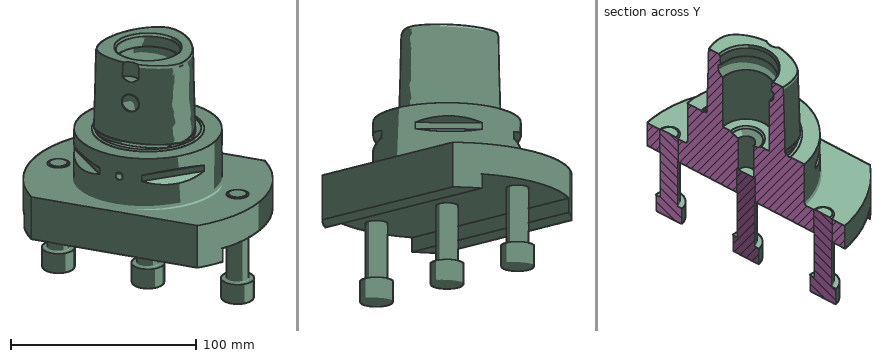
import cadquery as cq
import math


BOLT_DIAMETER = 12.0
BOLT_LENGTH = 50.0
BOLT_TIP_DIAMETER = 10.0
BOLT_TIP_BEVEL_HEIGHT = 0.5
BOLT_NECK_FILLET = 0.6
HEAD_DIAMETER = 18.0
HEAD_HEIGHT = BOLT_DIAMETER
HEAD_EDGE_FILLET = 1.2
BOLT_SPACING = 52.5
BOLT_X_POSITIONS = (-BOLT_SPACING, 0.0, BOLT_SPACING)
BOLT_TIP_Z = HEAD_HEIGHT + BOLT_LENGTH

PLATE_DIAMETER = 135.0
PLATE_WIDTH = 93.5
PLATE_THICKNESS = 25.0
PLATE_TOP_Z = BOLT_TIP_Z - BOLT_TIP_BEVEL_HEIGHT
PLATE_BOTTOM_Z = PLATE_TOP_Z - PLATE_THICKNESS
CHANNEL_WIDTH = 68.0
CHANNEL_DEPTH = 8.0

FLANGE_DIAMETER = 80.0
FLANGE_RADIUS = FLANGE_DIAMETER / 2
FLANGE_FOOT_FILLET = 2.0
FLANGE_HEIGHT = 29.7
FLANGE_TOP_Z = PLATE_TOP_Z + FLANGE_HEIGHT
SEAT_HEIGHT = 0.5
SEAT_DIAMETER = 57.5
SEAT_GROOVE_DIAMETER = 60.8
SEAT_GROOVE_DEPTH = 0.5
SEAT_Z = FLANGE_TOP_Z + SEAT_HEIGHT

GROOVE_HEIGHT_ABOVE_PLATE = 18.0
GROOVE_Z = PLATE_TOP_Z + GROOVE_HEIGHT_ABOVE_PLATE
GROOVE_COUNT = 4
GROOVE_LENGTH = 36.4
GROOVE_FLOOR_HEIGHT = 3.5
GROOVE_FLANK_ANGLE = 31.0
GROOVE_FLOOR_DISTANCE = math.sqrt(FLANGE_RADIUS**2 - (GROOVE_LENGTH / 2) ** 2)
INDEX_DIMPLE_DIAMETER = 4.4

OVERALL_HEIGHT = 139.5
LOBE_WIDTH = 55.0
LOBE_ECCENTRICITY = 2.0
LOBE_POINT_COUNT = 36
TAPER_RATIO = 1 / 20
LAND_START_Z = 93.4
LAND_HEIGHT = 1.0
TAPER_START_Z = LAND_START_Z + LAND_HEIGHT
TAPER_EDGE_HEIGHT = 1.5
TAPER_EDGE_INSET = 0.45
NECK_INSET = 0.4
NECK_FOOT_FLARE = 0.2
NECK_RADIUS = 28.5

MOUTH_DIAMETER = 36.6
MOUTH_DEPTH = 1.6
ENTRY_DIAMETER = 35.0
LIP_DIAMETER = 34.2
LIP_DEPTH = 7.3
RECESS_DIAMETER = 37.4
RECESS_START_DEPTH = 8.3
RECESS_END_DEPTH = 11.3
RECESS_ROUND_RADIUS = 4.0
RECESS_SLOPE_ANGLE = 45.0
BORE_DIAMETER = 31.5
BORE_FLOOR_DEPTH = 52.0
CONE_RIM_DIAMETER = 20.6
CONE_RIM_CHAMFER = 1.1
CONE_TOP_DIAMETER = CONE_RIM_DIAMETER - 2 * CONE_RIM_CHAMFER
CONE_SLOPE_ANGLE = 20.0
PASSAGE_DIAMETER = BOLT_TIP_DIAMETER

KEYWAY_RADIUS = 6.6
KEYWAY_BACK_Y = -22.2
KEYWAY_DEPTH = 8.4
TAPER_DIMPLE_DIAMETER = 10.0
TAPER_DIMPLE_Z = 116.4
TAPER_DIMPLE_WALL = 0.8
TAPER_DIMPLE_POINT_DEPTH = 2.9


def lobe_width_at(z):
    """Width across the three-lobed section at height z."""
    return LOBE_WIDTH - TAPER_RATIO * (z - SEAT_Z)


def lobe_wire(width, z):
    """Constant-width three-lobed outline with one lobe pointing to +Y."""

    def point(index):
        angle = 2 * math.pi * index / LOBE_POINT_COUNT
        x = width / 2 * math.cos(angle) - 2 * LOBE_ECCENTRICITY * math.cos(2 * angle)
        y = width / 2 * math.sin(angle) + 2 * LOBE_ECCENTRICITY * math.sin(2 * angle)
        x += LOBE_ECCENTRICITY * math.cos(4 * angle)
        y += LOBE_ECCENTRICITY * math.sin(4 * angle)
        return cq.Vector(y, -x, z)

    points = [point(index) for index in range(LOBE_POINT_COUNT)]
    return cq.Wire.assembleEdges([cq.Edge.makeSpline(points, periodic=True)])


def lobe_loft(lower_width, lower_z, upper_width, upper_z):
    """Straight-sided solid between two three-lobed outlines."""
    wires = [lobe_wire(lower_width, lower_z), lobe_wire(upper_width, upper_z)]
    return cq.Workplane(cq.Solid.makeLoft(wires, True))


def revolve_profile(points):
    """Solid of revolution about Z from (radius, height) points."""
    return cq.Workplane("XZ").polyline(points).close().revolve(360, (0, 0, 0), (0, 1, 0))


def front_cone(diameter, point_depth, y, z):
    """Cone with its rim at y and its point toward +Y."""
    cone = cq.Solid.makeCone(diameter / 2, 0, point_depth, cq.Vector(0, y, z), cq.Vector(0, 1, 0))
    return cq.Workplane(cone)


def make_bolt():
    """Cap-head bolt standing on its head, with a chamfered tip."""
    head = cq.Workplane("XY").circle(HEAD_DIAMETER / 2).extrude(HEAD_HEIGHT)
    head = head.faces("<Z").edges().fillet(HEAD_EDGE_FILLET)
    bevel_width = (BOLT_DIAMETER - BOLT_TIP_DIAMETER) / 2
    shank = cq.Workplane("XY").workplane(offset=HEAD_HEIGHT).circle(BOLT_DIAMETER / 2).extrude(BOLT_LENGTH)
    shank = shank.faces(">Z").chamfer(BOLT_TIP_BEVEL_HEIGHT, bevel_width)
    bolt = head.union(shank)
    neck_reach = BOLT_DIAMETER / 2 + BOLT_NECK_FILLET
    around_neck = cq.selectors.BoxSelector(
        (-neck_reach, -neck_reach, HEAD_HEIGHT - BOLT_NECK_FILLET),
        (neck_reach, neck_reach, HEAD_HEIGHT + BOLT_NECK_FILLET),
        boundingbox=True,
    )
    return bolt.edges(around_neck).fillet(BOLT_NECK_FILLET)


def make_plate():
    """Round plate with two flats and a wide channel along X in its underside."""
    bottom = cq.Workplane("XY").workplane(offset=PLATE_BOTTOM_Z)
    disc = bottom.circle(PLATE_DIAMETER / 2).extrude(PLATE_THICKNESS)
    flat_sided_block = bottom.rect(PLATE_DIAMETER, PLATE_WIDTH).extrude(PLATE_THICKNESS)
    channel = bottom.rect(PLATE_DIAMETER, CHANNEL_WIDTH).extrude(CHANNEL_DEPTH)
    return disc.intersect(flat_sided_block).cut(channel)


def make_flange():
    """Flange with a filleted foot and, on top, a low round seat ringed by a shallow groove."""
    r = FLANGE_RADIUS
    foot = FLANGE_FOOT_FILLET
    arc_offset = foot * (1 - math.sqrt(0.5))
    groove_middle = (SEAT_GROOVE_DIAMETER + SEAT_DIAMETER) / 4
    return (
        cq.Workplane("XZ")
        .moveTo(0, PLATE_TOP_Z)
        .lineTo(r + foot, PLATE_TOP_Z)
        .threePointArc((r + arc_offset, PLATE_TOP_Z + arc_offset), (r, PLATE_TOP_Z + foot))
        .lineTo(r, FLANGE_TOP_Z)
        .lineTo(SEAT_GROOVE_DIAMETER / 2, FLANGE_TOP_Z)
        .threePointArc((groove_middle, FLANGE_TOP_Z - SEAT_GROOVE_DEPTH), (SEAT_DIAMETER / 2, SEAT_Z))
        .lineTo(0, SEAT_Z)
        .close()
        .revolve(360, (0, 0, 0), (0, 1, 0))
    )


def cut_gripper_grooves(body):
    """Straight trapezoid grooves at the four diagonals of the flange."""
    depth = FLANGE_RADIUS - GROOVE_FLOOR_DISTANCE
    floor_half = GROOVE_FLOOR_HEIGHT / 2
    mouth_half = floor_half + depth * math.tan(math.radians(GROOVE_FLANK_ANGLE))
    groove = (
        cq.Workplane("XZ", origin=(0, FLANGE_RADIUS, 0))
        .polyline(
            [
                (GROOVE_FLOOR_DISTANCE, GROOVE_Z - floor_half),
                (FLANGE_RADIUS, GROOVE_Z - mouth_half),
                (FLANGE_RADIUS, GROOVE_Z + mouth_half),
                (GROOVE_FLOOR_DISTANCE, GROOVE_Z + floor_half),
            ]
        )
        .close()
        .extrude(FLANGE_DIAMETER)
    )
    for index in range(GROOVE_COUNT):
        angle = 360 / GROOVE_COUNT * (index + 0.5)
        body = body.cut(groove.rotate((0, 0, 0), (0, 0, 1), angle))
    return body


def make_taper():
    """Three-lobed taper with a flared neck, a short straight land and a steep chamfer at the top."""
    edge_z = OVERALL_HEIGHT - TAPER_EDGE_HEIGHT
    start_width = lobe_width_at(TAPER_START_Z)
    edge_width = lobe_width_at(edge_z)
    neck_width = start_width - 2 * NECK_INSET
    foot_width = start_width + 2 * NECK_FOOT_FLARE
    neck = lobe_loft(foot_width, SEAT_Z, neck_width, LAND_START_Z)
    neck_limit = cq.Workplane("XY").circle(NECK_RADIUS).extrude(OVERALL_HEIGHT)
    land = lobe_loft(start_width, LAND_START_Z, start_width, TAPER_START_Z)
    taper = lobe_loft(start_width, TAPER_START_Z, edge_width, edge_z)
    edge = lobe_loft(edge_width, edge_z, edge_width - 2 * TAPER_EDGE_INSET, OVERALL_HEIGHT)
    return neck.intersect(neck_limit).union(land).union(taper).union(edge)


def make_bore():
    """Stepped bore with a clamping recess, a conical floor and a passage to the middle bolt."""
    top = OVERALL_HEIGHT
    recess_radius = RECESS_DIAMETER / 2
    round_center_radius = recess_radius - RECESS_ROUND_RADIUS

    def round_point(angle):
        turn = math.radians(angle)
        depth = RECESS_END_DEPTH + RECESS_ROUND_RADIUS * math.sin(turn)
        return (round_center_radius + RECESS_ROUND_RADIUS * math.cos(turn), top - depth)

    round_end = round_point(RECESS_SLOPE_ANGLE)
    slope_width = round_end[0] - BORE_DIAMETER / 2
    bore_start_z = round_end[1] - slope_width / math.tan(math.radians(RECESS_SLOPE_ANGLE))
    floor_z = top - BORE_FLOOR_DEPTH
    cone_top_z = floor_z - CONE_RIM_CHAMFER
    cone_width = (CONE_TOP_DIAMETER - PASSAGE_DIAMETER) / 2
    cone_end_z = cone_top_z - cone_width * math.tan(math.radians(CONE_SLOPE_ANGLE))
    return (
        cq.Workplane("XZ")
        .moveTo(0, top)
        .lineTo(MOUTH_DIAMETER / 2, top)
        .lineTo(ENTRY_DIAMETER / 2, top - MOUTH_DEPTH)
        .lineTo(LIP_DIAMETER / 2, top - LIP_DEPTH)
        .lineTo(recess_radius, top - RECESS_START_DEPTH)
        .lineTo(recess_radius, top - RECESS_END_DEPTH)
        .threePointArc(round_point(RECESS_SLOPE_ANGLE / 2), round_end)
        .lineTo(BORE_DIAMETER / 2, bore_start_z)
        .lineTo(BORE_DIAMETER / 2, floor_z)
        .lineTo(CONE_RIM_DIAMETER / 2, floor_z)
        .lineTo(CONE_TOP_DIAMETER / 2, cone_top_z)
        .lineTo(PASSAGE_DIAMETER / 2, cone_end_z)
        .lineTo(PASSAGE_DIAMETER / 2, BOLT_TIP_Z)
        .lineTo(0, BOLT_TIP_Z)
        .close()
        .revolve(360, (0, 0, 0), (0, 1, 0))
    )


def make_keyway():
    """Upright drilled keyway with a right-angled conical end, open to the front of the taper."""
    shoulder_z = OVERALL_HEIGHT - KEYWAY_DEPTH
    profile = [
        (0, shoulder_z - KEYWAY_RADIUS),
        (KEYWAY_RADIUS, shoulder_z),
        (KEYWAY_RADIUS, OVERALL_HEIGHT),
        (0, OVERALL_HEIGHT),
    ]
    return revolve_profile(profile).translate((0, KEYWAY_BACK_Y - KEYWAY_RADIUS, 0))


def cut_taper_dimple(body):
    """Shallow round dimple with a conical end in the front of the taper."""
    front_y = LOBE_ECCENTRICITY - lobe_width_at(TAPER_DIMPLE_Z) / 2
    wall_end_y = front_y + TAPER_DIMPLE_WALL
    wall = (
        cq.Workplane("XZ", origin=(0, wall_end_y, TAPER_DIMPLE_Z))
        .circle(TAPER_DIMPLE_DIAMETER / 2)
        .extrude(2 * TAPER_DIMPLE_WALL)
    )
    point = front_cone(TAPER_DIMPLE_DIAMETER, TAPER_DIMPLE_POINT_DEPTH, wall_end_y, TAPER_DIMPLE_Z)
    return body.cut(wall).cut(point)


def make_housing(bolts):
    """Plate, flange and hollow taper in one solid, with holes that fit the bolts."""
    body = make_plate().union(cut_gripper_grooves(make_flange())).union(make_taper())
    body = body.cut(make_bore()).cut(make_keyway())
    body = cut_taper_dimple(body)
    body = body.cut(front_cone(INDEX_DIMPLE_DIAMETER, INDEX_DIMPLE_DIAMETER / 2, -FLANGE_RADIUS, GROOVE_Z))
    for bolt in bolts:
        body = body.cut(bolt)
    return body


bolts = [make_bolt().translate((x, 0, 0)) for x in BOLT_X_POSITIONS]
housing = make_housing(bolts)

result = cq.Compound.makeCompound([housing.val(), *[bolt.val() for bolt in bolts]])